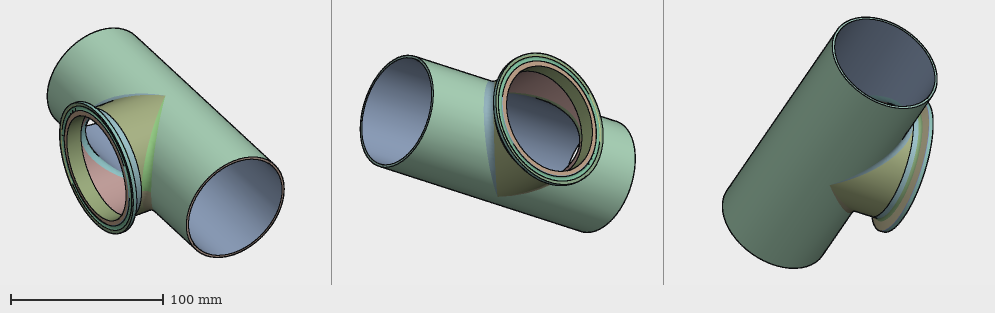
import cadquery as cq
import math

run_length = 171.4
tube_diameter = 76.3
bore_diameter = 72.8
rim_diameter = 91.0
overall_depth = 92.0
ferrule_length = 11.0
crotch_radius = 4.6

rim_thickness = 2.7
rim_corner_radius = 0.5
cone_angle = 20.0
neck_fillet_radius = 2.2
groove_inner_radius = 40.0
groove_outer_radius = 43.2
groove_depth = 1.4
groove_edge_radius = 0.5

tube_radius = tube_diameter / 2
bore_radius = bore_diameter / 2
rim_radius = rim_diameter / 2
wall = tube_radius - bore_radius
face_y = tube_radius - overall_depth
joint_y = face_y + ferrule_length
bore_crotch_radius = crotch_radius + wall


def filleted_tee(radius, fillet_radius):
    """Solid run along X joined by an equal branch toward -Y, with filleted crotches."""
    run = cq.Workplane("YZ").circle(radius).extrude(run_length / 2, both=True)
    branch = cq.Workplane("XZ").circle(radius).extrude(-joint_y)
    tee = run.union(branch)
    crotch_edges = tee.edges("%ELLIPSE")
    return crotch_edges.fillet(fillet_radius)


def make_tee():
    return filleted_tee(tube_radius, crotch_radius).cut(filleted_tee(bore_radius, bore_crotch_radius))


def circle_edges(body, radius, y):
    """Circular edges of the given radius, centred on the Y axis at height y."""
    tolerance = 0.0002
    return body.edges("%CIRCLE").filter(
        lambda edge: abs(edge.radius() - radius) < tolerance and abs(edge.Center().y - y) < tolerance
    )


def make_ferrule():
    cone_rise = (rim_radius - tube_radius) * math.tan(math.radians(cone_angle))
    cone_foot_y = face_y + rim_thickness + cone_rise
    profile = (
        cq.Workplane("XY")
        .moveTo(bore_radius, joint_y)
        .lineTo(tube_radius, joint_y)
        .lineTo(tube_radius, cone_foot_y)
        .lineTo(rim_radius, face_y + rim_thickness)
        .lineTo(rim_radius, face_y)
        .lineTo(groove_outer_radius, face_y)
        .threePointArc(
            ((groove_inner_radius + groove_outer_radius) / 2, face_y + groove_depth),
            (groove_inner_radius, face_y),
        )
        .lineTo(bore_radius, face_y)
        .close()
    )
    ferrule = profile.revolve(360, (0, 0, 0), (0, 1, 0))
    ferrule = circle_edges(ferrule, tube_radius, cone_foot_y).fillet(neck_fillet_radius)
    ferrule = circle_edges(ferrule, rim_radius, face_y + rim_thickness).fillet(rim_corner_radius)
    for groove_radius in (groove_inner_radius, groove_outer_radius):
        ferrule = circle_edges(ferrule, groove_radius, face_y).fillet(groove_edge_radius)
    return ferrule


tee = make_tee()
ferrule = make_ferrule()
result = cq.Compound.makeCompound([tee.val(), ferrule.val()])